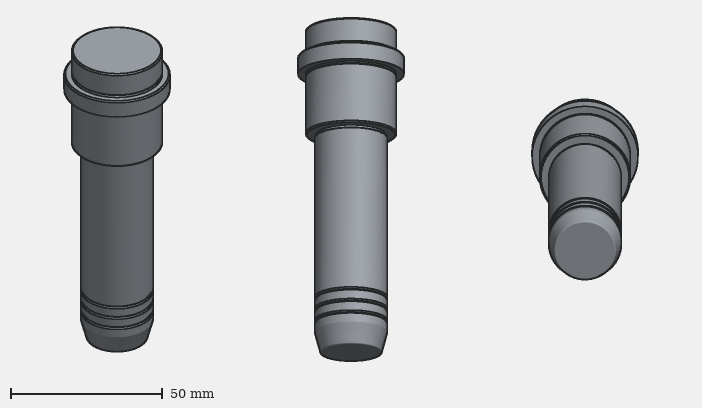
import cadquery as cq
import math

total_length = 111.0
shoulder_z = 75.0
collar_bottom_z = 96.0
collar_top_z = 102.0
taper_length = 7.0

collar_radius = 17.5
body_radius = 15.0
shaft_radius = 12.0

edge_chamfer = 0.5
tip_fillet = 0.5
taper_angle = 15.0

neck_length = 1.0
neck_depth = 0.5

groove_width = 1.0
groove_depth = 0.5
shaft_groove_count = 3
shaft_groove_pitch = 4.0
first_shaft_groove_z = taper_length + shaft_groove_pitch - groove_width / 2


def cylinder(radius, bottom_z, top_z):
    """Solid cylinder on the Z axis between two heights."""
    base = cq.Workplane("XY").workplane(offset=bottom_z)
    return base.circle(radius).extrude(top_z - bottom_z)


def revolve_outline(points):
    """Solid of revolution about Z from a closed (radius, z) outline."""
    return cq.Workplane("XZ").polyline(points).close().revolve(360, (0, 0, 0), (0, 1, 0))


def make_shaft():
    """Shaft with a tapered, rounded tip and a thinner neck under the shoulder."""
    tip_radius = shaft_radius - taper_length * math.tan(math.radians(taper_angle))
    neck_radius = shaft_radius - neck_depth
    neck_bottom_z = shoulder_z - neck_length
    outline = [
        (0, 0),
        (tip_radius, 0),
        (shaft_radius, taper_length),
        (shaft_radius, neck_bottom_z),
        (neck_radius, neck_bottom_z),
        (neck_radius, shoulder_z),
        (0, shoulder_z),
    ]
    return revolve_outline(outline).faces("<Z").edges().fillet(tip_fillet)


def make_body():
    """Body running through the collar, chamfered at both ends."""
    body = cylinder(body_radius, shoulder_z, total_length)
    return body.faces("<Z or >Z").edges().chamfer(edge_chamfer)


def make_collar():
    """Collar with a chamfered upper rim."""
    collar = cylinder(collar_radius, collar_bottom_z, collar_top_z)
    return collar.faces(">Z").edges().chamfer(edge_chamfer)


def groove_cutter(outer_radius, middle_z):
    """Ring that cuts one V-shaped groove into a cylinder of the given radius."""
    outline = [
        (outer_radius, middle_z - groove_width / 2),
        (outer_radius - groove_depth, middle_z),
        (outer_radius, middle_z + groove_width / 2),
    ]
    return revolve_outline(outline)


result = make_shaft().union(make_body()).union(make_collar())

for index in range(shaft_groove_count):
    groove_z = first_shaft_groove_z + index * shaft_groove_pitch
    result = result.cut(groove_cutter(shaft_radius, groove_z))

for groove_z in (collar_bottom_z - groove_width / 2, collar_top_z + groove_width / 2):
    result = result.cut(groove_cutter(body_radius, groove_z))